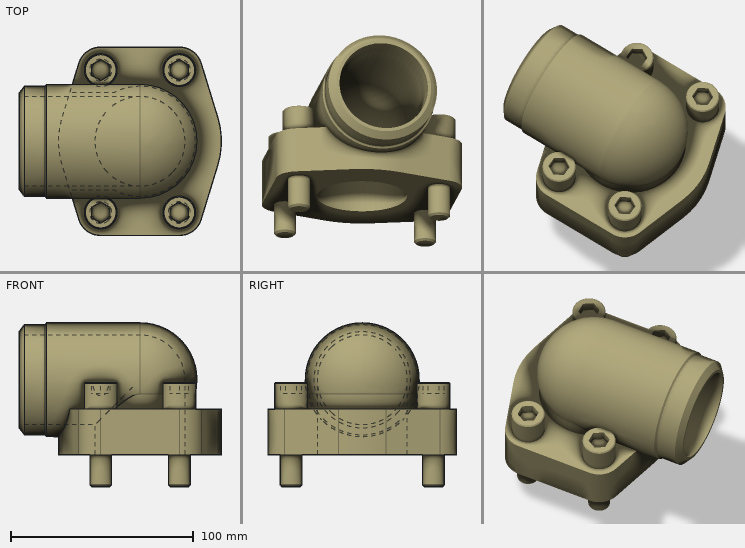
import cadquery as cq
import math


flange_thickness = 25.0
flange_depth = 103.0
flange_end_radius = 44.5
bolt_spacing_x = 42.9
bolt_spacing_y = 77.8
flange_corner_radius = (flange_depth - bolt_spacing_y) / 2

bore_diameter = 49.1
elbow_diameter = 62.3
neck_diameter = 60.3
spigot_diameter = 60.3
pipe_axis_height = 41.0
pipe_end_x = -66.0
shoulder_x = -51.0
shoulder_taper_length = 0.8

bevel_angle = 37.5
land_width = 1.8

bolt_diameter = 12.0
bolt_tip_z = -17.5
bolt_tip_chamfer = 1.1
head_diameter = 18.0
head_top_z = 39.5
head_chamfer = 0.6
socket_across_flats = 10.0
socket_depth = 6.0

bore_radius = bore_diameter / 2
elbow_radius = elbow_diameter / 2


def flange():
    """Plate outlined by four corner arcs, two end arcs and their common tangents."""
    bolt_x = bolt_spacing_x / 2
    bolt_y = bolt_spacing_y / 2
    bolt_distance = math.hypot(bolt_x, bolt_y)
    tangent_angle = math.atan2(bolt_y, bolt_x) - math.acos(
        (flange_end_radius - flange_corner_radius) / bolt_distance
    )
    corner_mid_angle = (tangent_angle + math.pi / 2) / 2

    def on_corner(angle):
        x = bolt_x + flange_corner_radius * math.cos(angle)
        y = bolt_y + flange_corner_radius * math.sin(angle)
        return x, y

    end_x = flange_end_radius * math.cos(tangent_angle)
    end_y = flange_end_radius * math.sin(tangent_angle)
    side_x, side_y = on_corner(tangent_angle)
    mid_x, mid_y = on_corner(corner_mid_angle)
    edge_y = flange_depth / 2

    return (
        cq.Workplane("XY")
        .moveTo(end_x, -end_y)
        .threePointArc((flange_end_radius, 0), (end_x, end_y))
        .lineTo(side_x, side_y)
        .threePointArc((mid_x, mid_y), (bolt_x, edge_y))
        .lineTo(-bolt_x, edge_y)
        .threePointArc((-mid_x, mid_y), (-side_x, side_y))
        .lineTo(-end_x, end_y)
        .threePointArc((-flange_end_radius, 0), (-end_x, -end_y))
        .lineTo(-side_x, -side_y)
        .threePointArc((-mid_x, -mid_y), (-bolt_x, -edge_y))
        .lineTo(bolt_x, -edge_y)
        .threePointArc((mid_x, -mid_y), (side_x, -side_y))
        .close()
        .extrude(flange_thickness)
    )


def elbow_body():
    """Horizontal pipe with bevelled spigot and spherical bend, plus the vertical neck."""
    spigot_radius = spigot_diameter / 2
    land_radius = bore_radius + land_width
    bevel_length = (spigot_radius - land_radius) * math.tan(math.radians(bevel_angle))
    bend_mid = elbow_radius * math.sqrt(0.5)

    pipe = (
        cq.Workplane("XZ")
        .moveTo(pipe_end_x, 0)
        .lineTo(pipe_end_x, land_radius)
        .lineTo(pipe_end_x + bevel_length, spigot_radius)
        .lineTo(shoulder_x - shoulder_taper_length, spigot_radius)
        .lineTo(shoulder_x, elbow_radius)
        .lineTo(0, elbow_radius)
        .threePointArc((bend_mid, bend_mid), (elbow_radius, 0))
        .close()
        .revolve(360, (0, 0), (1, 0))
        .translate((0, 0, pipe_axis_height))
    )
    neck = cq.Workplane("XY").circle(neck_diameter / 2).extrude(pipe_axis_height)
    return pipe.union(neck)


def elbow_bore():
    """Flow passage: horizontal and vertical bores joined by a sphere."""
    horizontal = (
        cq.Workplane("YZ", origin=(pipe_end_x, 0, pipe_axis_height))
        .circle(bore_radius)
        .extrude(-pipe_end_x)
    )
    vertical = cq.Workplane("XY").circle(bore_radius).extrude(pipe_axis_height)
    bend = cq.Workplane("XY", origin=(0, 0, pipe_axis_height)).sphere(bore_radius)
    return horizontal.union(vertical).union(bend)


def bolt():
    """Socket head bolt on the Z axis, head seated on the flange."""
    shank = (
        cq.Workplane("XY", origin=(0, 0, bolt_tip_z))
        .circle(bolt_diameter / 2)
        .extrude(flange_thickness - bolt_tip_z)
        .faces("<Z")
        .chamfer(bolt_tip_chamfer)
    )
    head = (
        cq.Workplane("XY", origin=(0, 0, flange_thickness))
        .circle(head_diameter / 2)
        .extrude(head_top_z - flange_thickness)
        .faces(">Z")
        .chamfer(head_chamfer)
    )
    return shank.union(head)


def bolt_socket():
    """Hexagon recess with two corners pointing along Y."""
    across_corners = socket_across_flats / math.cos(math.pi / 6)
    return (
        cq.Workplane("XY", origin=(0, 0, head_top_z - socket_depth))
        .transformed(rotate=(0, 0, 90))
        .polygon(6, across_corners)
        .extrude(socket_depth)
    )


result = flange().union(elbow_body())
for x_side in (-1, 1):
    for y_side in (-1, 1):
        position = (x_side * bolt_spacing_x / 2, y_side * bolt_spacing_y / 2, 0)
        result = result.union(bolt().translate(position))
        result = result.cut(bolt_socket().translate(position))
result = result.cut(elbow_bore())